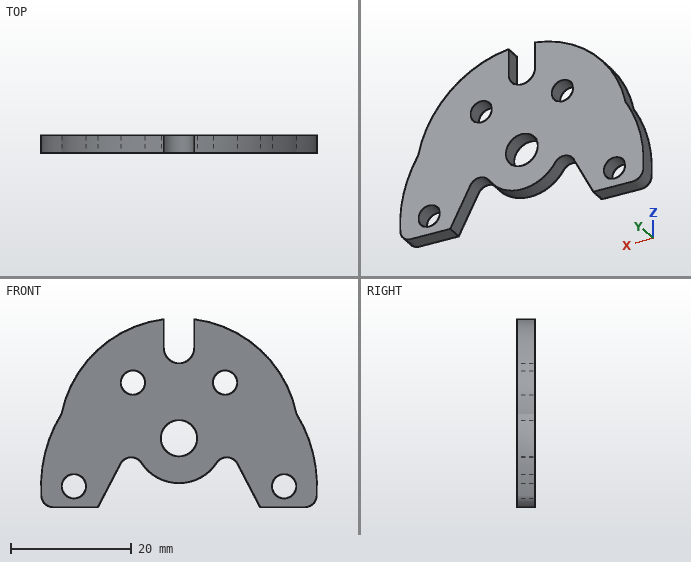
import cadquery as cq

thickness = 3.0
base_z = -11.5

crown_radius = 20.0
shoulder_radius = 23.0
shoulder_z = -8.0
corner_radius = 2.0

hub_radius = 7.5
notch_base_half_width = 13.5
notch_fillet_radius = 2.0

slot_width = 5.0
slot_centre_z = 15.0

shaft_hole_diameter = 6.0
screw_hole_diameter = 4.0
upper_hole_x = 7.67
upper_hole_z = 9.27
lower_hole_x = 17.5
lower_hole_z = shoulder_z

tolerance = 0.01


def sketch_plane():
    """XZ plane on the back face, so that extrusions run from there to Y = 0."""
    return cq.Workplane("XZ", origin=(0, thickness, 0))


def disc(radius, z=0.0):
    return sketch_plane().center(0, z).circle(radius).extrude(thickness)


def select_edges(half_width, z_min, z_max):
    """Selector for edges whose centres lie within a band of the plate."""
    return cq.selectors.BoxSelector(
        (-half_width, -tolerance, z_min),
        (half_width, thickness + tolerance, z_max),
    )


def make_outline():
    """Two overlapping discs cut flat along the base, with rounded outer corners."""
    discs = disc(crown_radius).union(disc(shoulder_radius, shoulder_z))
    clip_height = crown_radius - base_z
    clip = (
        sketch_plane()
        .center(0, base_z + clip_height / 2)
        .rect(2 * shoulder_radius, clip_height)
        .extrude(thickness)
    )
    outline = discs.intersect(clip)
    base_corners = select_edges(shoulder_radius, base_z - tolerance, base_z + tolerance)
    return outline.edges("|Y").edges(base_corners).fillet(corner_radius)


def cut_notch(plate):
    """Remove the tapered notch around the hub and round its two inner corners."""
    notch = (
        sketch_plane()
        .moveTo(-hub_radius, 0)
        .lineTo(hub_radius, 0)
        .lineTo(notch_base_half_width, base_z)
        .lineTo(-notch_base_half_width, base_z)
        .close()
        .extrude(thickness)
        .cut(disc(hub_radius))
    )
    notched = plate.cut(notch)
    inner_corners = select_edges(hub_radius + tolerance, -tolerance, tolerance)
    return notched.edges("|Y").edges(inner_corners).fillet(notch_fillet_radius)


def cut_slot(plate):
    """Cut the round-ended slot that opens through the top of the crown."""
    slot_depth = crown_radius - slot_centre_z
    channel = (
        sketch_plane()
        .center(0, slot_centre_z + slot_depth / 2)
        .rect(slot_width, slot_depth)
        .extrude(thickness)
    )
    return plate.cut(channel).cut(disc(slot_width / 2, slot_centre_z))


def cut_holes(plate):
    """Cut the central shaft hole and the two mirrored pairs of screw holes."""
    screw_points = []
    for side in (-1, 1):
        screw_points.append((side * upper_hole_x, upper_hole_z))
        screw_points.append((side * lower_hole_x, lower_hole_z))
    screw_holes = (
        sketch_plane()
        .pushPoints(screw_points)
        .circle(screw_hole_diameter / 2)
        .extrude(thickness)
    )
    return plate.cut(disc(shaft_hole_diameter / 2)).cut(screw_holes)


plate = make_outline()
plate = cut_notch(plate)
plate = cut_slot(plate)
result = cut_holes(plate)